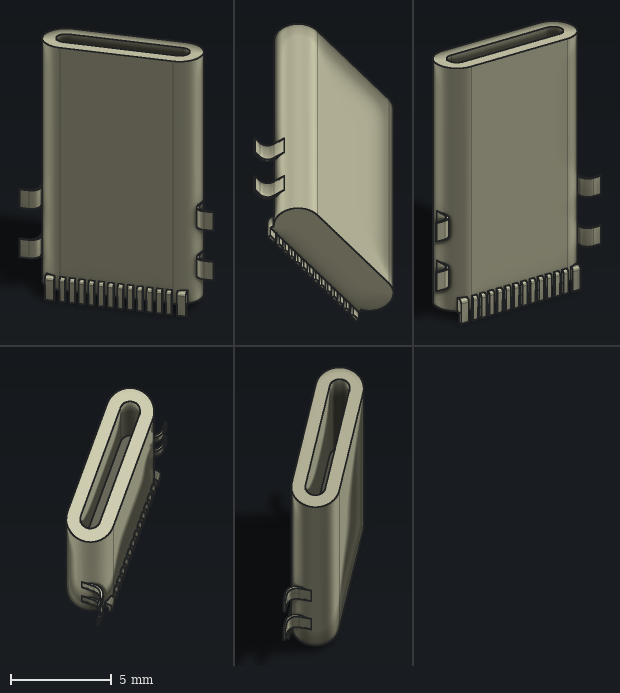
import cadquery as cq

TOTAL_HEIGHT = 13.73
PIN_DROP = 0.55
SHELL_HEIGHT = TOTAL_HEIGHT - PIN_DROP
SHELL_WIDTH = 8.25
SHELL_DEPTH = 2.4

CAVITY_WIDTH = 6.86
CAVITY_DEPTH = 1.0
CAVITY_HEIGHT = SHELL_HEIGHT / 2

SIGNAL_PIN_COUNT = 12
PIN_PITCH = 0.5
SIGNAL_PIN_WIDTH = 0.29
END_PIN_WIDTH = 0.47
PIN_ROW_WIDTH = 7.28
PIN_HEIGHT = 1.29
PIN_PROTRUSION = 0.15
PIN_ROOT_DEPTH = 0.35
PIN_TAIL_DEPTH = 0.16
PIN_ROUNDING = 0.19

TAB_SPAN = 10.0
TAB_THICKNESS = 0.1
TAB_HEIGHT = 1.0
TAB_BEND_RADIUS = 0.5
TAB_LEG_END = 0.04
TAB_STANDOFF = 0.007
TAB_BASES = (2.07, 4.76)

FRONT_FACE = -SHELL_DEPTH / 2


def make_shell():
    """Round-ended body with a blind mating cavity sunk from its top."""
    body = (
        cq.Workplane("XY")
        .workplane(offset=PIN_DROP)
        .slot2D(SHELL_WIDTH, SHELL_DEPTH)
        .extrude(SHELL_HEIGHT)
    )
    cavity = (
        cq.Workplane("XY")
        .workplane(offset=TOTAL_HEIGHT - CAVITY_HEIGHT)
        .slot2D(CAVITY_WIDTH, CAVITY_DEPTH)
        .extrude(CAVITY_HEIGHT)
    )
    return body.cut(cavity)


def make_pin(center_x, width):
    """Stepped pin: a root set into the shell and a thinner tail hanging below it."""
    outer_y = FRONT_FACE - PIN_PROTRUSION
    tail_y = outer_y + PIN_TAIL_DEPTH
    root_y = outer_y + PIN_ROOT_DEPTH
    return (
        cq.Workplane("YZ")
        .workplane(offset=center_x - width / 2)
        .moveTo(outer_y, 0)
        .lineTo(tail_y, 0)
        .lineTo(tail_y, PIN_DROP)
        .lineTo(root_y, PIN_DROP)
        .lineTo(root_y, PIN_HEIGHT)
        .lineTo(outer_y + PIN_ROUNDING, PIN_HEIGHT)
        .radiusArc((outer_y, PIN_HEIGHT - PIN_ROUNDING), -PIN_ROUNDING)
        .close()
        .extrude(width)
    )


def make_tab(base_z):
    """Tab on the +X side: a leg along the shell, bent outward into a flat foot.

    Both faces bend with the same radius, so the strip is thickest in mid-bend.
    """
    tip_x = TAB_SPAN / 2
    leg_outer_x = SHELL_WIDTH / 2 + TAB_STANDOFF
    leg_inner_x = leg_outer_x - TAB_THICKNESS
    foot_back_y = FRONT_FACE + TAB_THICKNESS
    return (
        cq.Workplane("XY")
        .workplane(offset=base_z)
        .moveTo(leg_inner_x, TAB_LEG_END)
        .lineTo(leg_inner_x, FRONT_FACE + TAB_BEND_RADIUS)
        .radiusArc((leg_inner_x + TAB_BEND_RADIUS, FRONT_FACE), -TAB_BEND_RADIUS)
        .lineTo(tip_x, FRONT_FACE)
        .lineTo(tip_x, foot_back_y)
        .lineTo(leg_outer_x + TAB_BEND_RADIUS, foot_back_y)
        .radiusArc((leg_outer_x, foot_back_y + TAB_BEND_RADIUS), TAB_BEND_RADIUS)
        .lineTo(leg_outer_x, TAB_LEG_END)
        .close()
        .extrude(TAB_HEIGHT)
    )


result = make_shell()

for index in range(SIGNAL_PIN_COUNT):
    center_x = (index - (SIGNAL_PIN_COUNT - 1) / 2) * PIN_PITCH
    result = result.union(make_pin(center_x, SIGNAL_PIN_WIDTH))

end_pin_x = (PIN_ROW_WIDTH - END_PIN_WIDTH) / 2
for center_x in (-end_pin_x, end_pin_x):
    result = result.union(make_pin(center_x, END_PIN_WIDTH))

for base_z in TAB_BASES:
    tab = make_tab(base_z)
    result = result.union(tab).union(tab.mirror("YZ"))